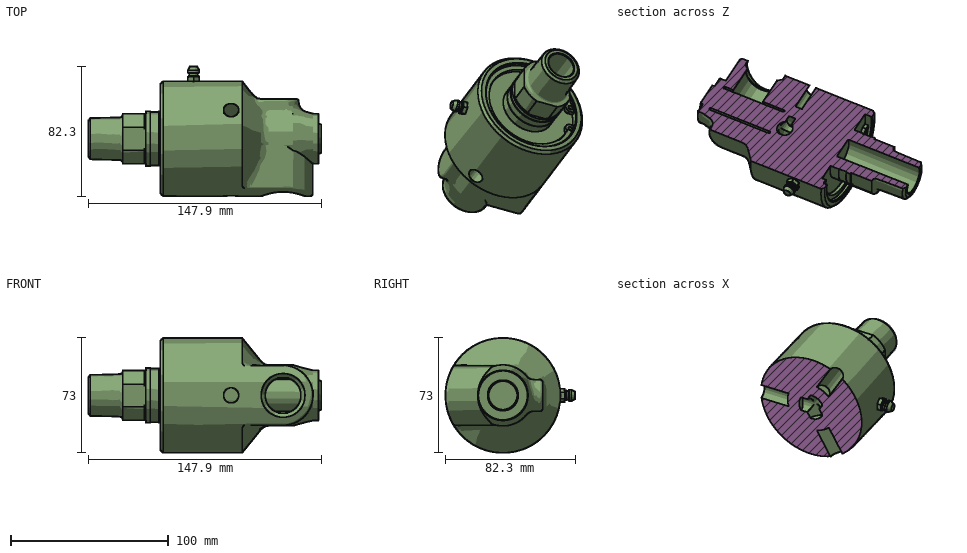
import cadquery as cq
import math

TOTAL_LENGTH = 147.9

NOSE_END_R = 22.6 / 2
NOSE_FRONT_R = 26.3 / 2
NOSE_REAR_R = 27.2 / 2
NOSE_CHAMFER = 1.5
NOSE_LENGTH = 20.1
NECK_FLARE = 1.8
COLLAR_R = 34.9 / 2
COLLAR_START = NOSE_LENGTH + NECK_FLARE
SQUARE_WIDTH = 31.8
GROOVE_R = 34.2 / 2
GROOVE_START = 35.6
GROOVE_END = 36.5
STEP_START = 39.5
STEP_END = 44.8
SLEEVE_R = 34.6 / 2
ROD_R = 20.4 / 2
SHAFT_BORE_D = 17.5
BORE_CHAMFER = 0.5

DRUM_R = 73.0 / 2
DRUM_START = 45.7
DRUM_END = 97.6
DRUM_CHAMFER = 1.8
CONE_END = 111.5
NECK_R = 38.7 / 2
NECK_END = 129.9
TAIL_R = 32.0 / 2
TAIL_START = 142.7
TAIL_END = 146.3
TAIL_CHAMFER = 0.5
PLUG_BASE_R = 19.5 / 2
PLUG_END_R = 18.0 / 2

RECESS_R = 62.5 / 2
RECESS_DEPTH = 5.0
RECESS_CHAMFER = 0.6
RING_INNER_R = 28.2
RING_THICKNESS = 2.5
RING_GAP = 10.4
EAR_R = 3.3
EAR_HOLE_D = 2.8
EAR_HOLE_RADIAL = 28.4

PORT_X = 123.6
PAD_R = 19.0
BOSS_R = 10.0
BOSS_HEIGHT = 25.3
BLOCK_ROOT = 7.4
PAD_TRIM = 1.5
RIM_FILLET = 1.9
BLEND_R = 6.0

MARGIN = 0.1

PORT_MOUTH_D = 27.8
PORT_MOUTH_DEPTH = 4.5
PORT_CHAMFER = 0.7
PORT_THREAD_D = 26.3
PORT_INNER_D = 22.6
PORT_TAPER_DEPTH = 1.8
CHAMBER_D = 22.6
CHAMBER_END = 140.5

DRAIN_X = 90.7
DRAIN_D = 9.6
DRAIN_COUNT = 3

NIPPLE_X = 66.9
NIPPLE_TOP = 45.8
NIPPLE_HEX_CORNERS = 8.6
NIPPLE_HEX_TOP = 39.2
NIPPLE_ROOT_DEPTH = 1.5
NIPPLE_SHOULDER_TOP = 40.1
NIPPLE_NECK_TOP = 41.4
NIPPLE_HEAD_BOTTOM = 42.0
NIPPLE_HEAD_TOP = 43.3
NIPPLE_SHOULDER_R = 6.4 / 2
NIPPLE_NECK_R = 5.6 / 2
NIPPLE_HEAD_R = 7.4 / 2
NIPPLE_TIP_R = 4.7 / 2


def x_cylinder(diameter, start, end):
    """Cylinder on the main axis between two X positions."""
    return cq.Workplane("YZ", origin=(start, 0, 0)).circle(diameter / 2).extrude(end - start)


def make_shaft():
    flare_mid = NECK_FLARE * math.sqrt(0.5)
    shaft = (
        cq.Workplane("XY")
        .moveTo(0, 0)
        .lineTo(0, NOSE_END_R)
        .lineTo(NOSE_CHAMFER, NOSE_FRONT_R)
        .lineTo(NOSE_LENGTH, NOSE_REAR_R)
        .threePointArc(
            (NOSE_LENGTH + flare_mid, NOSE_REAR_R + NECK_FLARE - flare_mid),
            (COLLAR_START, NOSE_REAR_R + NECK_FLARE),
        )
        .lineTo(COLLAR_START, COLLAR_R)
        .lineTo(GROOVE_START, COLLAR_R)
        .lineTo(GROOVE_START, GROOVE_R)
        .lineTo(GROOVE_END, GROOVE_R)
        .lineTo(GROOVE_END, COLLAR_R)
        .lineTo(STEP_START, COLLAR_R)
        .lineTo(STEP_START, GROOVE_R)
        .lineTo(STEP_END, GROOVE_R)
        .lineTo(STEP_END, SLEEVE_R)
        .lineTo(DRUM_END, SLEEVE_R)
        .lineTo(DRUM_END, ROD_R)
        .lineTo(CHAMBER_END, ROD_R)
        .lineTo(CHAMBER_END, 0)
        .close()
        .revolve(360, (0, 0, 0), (1, 0, 0))
    )
    flats = (
        cq.Workplane("YZ", origin=(COLLAR_START, 0, 0))
        .rect(2 * SQUARE_WIDTH, 2 * SQUARE_WIDTH)
        .rect(SQUARE_WIDTH, SQUARE_WIDTH)
        .extrude(GROOVE_END - COLLAR_START)
    )
    bore = x_cylinder(SHAFT_BORE_D, 0, DRUM_END)
    shaft = shaft.cut(flats).cut(bore)
    return shaft.faces("<X").edges(cq.selectors.RadiusNthSelector(0)).chamfer(BORE_CHAMFER)


def make_block(radius, depth, side):
    """Round-ended block on the port axis; side is -1 towards -Y and 1 towards +Y."""
    start = DRUM_END - BLOCK_ROOT
    return (
        cq.Workplane("XZ")
        .moveTo(start, -radius)
        .lineTo(PORT_X, -radius)
        .threePointArc((PORT_X + radius, 0), (PORT_X, radius))
        .lineTo(start, radius)
        .close()
        .extrude(-side * depth)
    )


def make_housing():
    core = (
        cq.Workplane("XY")
        .moveTo(DRUM_START, 0)
        .lineTo(DRUM_START, DRUM_R - DRUM_CHAMFER)
        .lineTo(DRUM_START + DRUM_CHAMFER, DRUM_R)
        .lineTo(DRUM_END, DRUM_R)
        .lineTo(CONE_END, NECK_R)
        .lineTo(NECK_END, NECK_R)
        .lineTo(TAIL_START, TAIL_R)
        .lineTo(TAIL_END - TAIL_CHAMFER, TAIL_R)
        .lineTo(TAIL_END, TAIL_R - TAIL_CHAMFER)
        .lineTo(TAIL_END, 0)
        .close()
        .revolve(360, (0, 0, 0), (1, 0, 0))
    )
    pad = make_block(PAD_R, DRUM_R + PAD_TRIM, -1)
    pad = pad.intersect(x_cylinder(2 * DRUM_R, DRUM_START, TAIL_END))
    boss = make_block(BOSS_R, BOSS_HEIGHT, 1)
    return core.union(pad).union(boss)


def inside_box(low, high):
    """Selector for edges that lie wholly between two corner points."""
    return cq.selectors.BoxSelector(low, high, boundingbox=True)


def round_housing(housing):
    """Round the boss and pad rims, then blend the cone, boss and pad into one another."""
    boss_end = PORT_X + BOSS_R + MARGIN
    boss_side = BOSS_R + MARGIN
    boss_rim = inside_box(
        (DRUM_END, BOSS_HEIGHT - MARGIN, -boss_side),
        (boss_end, BOSS_HEIGHT + MARGIN, boss_side),
    )
    housing = housing.edges(boss_rim).edges("not %HYPERBOLA").fillet(RIM_FILLET)

    pad_edge_y = math.sqrt(DRUM_R**2 - PAD_R**2)
    pad_side = PAD_R + MARGIN
    pad_rim = inside_box(
        (DRUM_END - MARGIN, -DRUM_R - MARGIN, -pad_side),
        (PORT_X + PAD_R + MARGIN, MARGIN - pad_edge_y, pad_side),
    )
    housing = housing.edges(pad_rim).fillet(RIM_FILLET)

    cone_end = inside_box(
        (CONE_END - MARGIN, -DRUM_R, -DRUM_R),
        (CONE_END + MARGIN, DRUM_R, DRUM_R),
    )
    boss_foot_y = math.sqrt(NECK_R**2 - BOSS_R**2)
    boss_foot = inside_box(
        (CONE_END - MARGIN, boss_foot_y - MARGIN, -boss_side),
        (boss_end, NECK_R, boss_side),
    )
    blend_edges = housing.edges("%HYPERBOLA")
    blend_edges = blend_edges.add(housing.edges(cone_end)).add(housing.edges(boss_foot))
    return blend_edges.fillet(BLEND_R)


def make_plug():
    base = cq.Workplane("YZ", origin=(TAIL_END, 0, 0)).circle(PLUG_BASE_R)
    return base.workplane(offset=TOTAL_LENGTH - TAIL_END).circle(PLUG_END_R).loft()


def make_recess():
    """Round recess in the drum face, with a chamfered mouth."""
    recess = x_cylinder(2 * RECESS_R, DRUM_START, DRUM_START + RECESS_DEPTH)
    mouth = (
        cq.Workplane("YZ", origin=(DRUM_START, 0, 0))
        .circle(RECESS_R + RECESS_CHAMFER)
        .workplane(offset=RECESS_CHAMFER)
        .circle(RECESS_R)
        .loft()
    )
    return recess.union(mouth)


def make_retaining_ring():
    """Open ring on the recess floor, with an eyed ear at each end."""
    start = DRUM_START + RECESS_DEPTH - RING_THICKNESS
    end = DRUM_START + RECESS_DEPTH
    seat = cq.Workplane("YZ", origin=(start, 0, 0))
    ring = seat.circle(RECESS_R).circle(RING_INNER_R).extrude(RING_THICKNESS)
    ring = ring.cut(seat.center(-RECESS_R, 0).rect(RECESS_R, RING_GAP).extrude(RING_THICKNESS))
    eye_z = RING_GAP / 2 + EAR_R
    eyes = [(-EAR_HOLE_RADIAL, -eye_z), (-EAR_HOLE_RADIAL, eye_z)]
    ears = seat.pushPoints(eyes).circle(EAR_R).extrude(RING_THICKNESS)
    ears = ears.intersect(x_cylinder(2 * RECESS_R, start, end))
    eye_holes = seat.pushPoints(eyes).circle(EAR_HOLE_D / 2).extrude(RING_THICKNESS)
    return ring.union(ears).cut(eye_holes)


def make_port():
    """Side port from the pad face into the chamber: chamfered mouth, then a taper."""
    mouth_y = -DRUM_R
    taper_start = mouth_y + PORT_MOUTH_DEPTH
    taper_end = taper_start + PORT_TAPER_DEPTH
    return (
        cq.Workplane("XY")
        .moveTo(PORT_X, mouth_y)
        .lineTo(PORT_X + PORT_MOUTH_D / 2, mouth_y)
        .lineTo(PORT_X + PORT_MOUTH_D / 2, taper_start - PORT_CHAMFER)
        .lineTo(PORT_X + PORT_THREAD_D / 2, taper_start)
        .lineTo(PORT_X + PORT_INNER_D / 2, taper_end)
        .lineTo(PORT_X + PORT_INNER_D / 2, 0)
        .lineTo(PORT_X, 0)
        .close()
        .revolve(360, (PORT_X, 0, 0), (PORT_X, 1, 0))
    )


def make_drain_holes():
    """Radial holes down to the shaft, evenly spaced around the drum from the -Y side."""
    hole = cq.Workplane("XZ", origin=(DRAIN_X, 0, 0)).circle(DRAIN_D / 2).extrude(DRUM_R)
    holes = cq.Workplane("XY")
    for i in range(DRAIN_COUNT):
        holes = holes.add(hole.rotate((0, 0, 0), (1, 0, 0), i * 360 / DRAIN_COUNT))
    return holes.combine()


def make_nipple():
    root = DRUM_R - NIPPLE_ROOT_DEPTH
    hexagon = (
        cq.Workplane("XZ", origin=(NIPPLE_X, root, 0))
        .transformed(rotate=(0, 0, 90))
        .polygon(6, NIPPLE_HEX_CORNERS)
        .extrude(root - NIPPLE_HEX_TOP)
    )
    head = (
        cq.Workplane("XY")
        .moveTo(NIPPLE_X, root)
        .lineTo(NIPPLE_X + NIPPLE_SHOULDER_R, root)
        .lineTo(NIPPLE_X + NIPPLE_SHOULDER_R, NIPPLE_SHOULDER_TOP)
        .lineTo(NIPPLE_X + NIPPLE_NECK_R, NIPPLE_SHOULDER_TOP)
        .lineTo(NIPPLE_X + NIPPLE_NECK_R, NIPPLE_NECK_TOP)
        .lineTo(NIPPLE_X + NIPPLE_HEAD_R, NIPPLE_HEAD_BOTTOM)
        .lineTo(NIPPLE_X + NIPPLE_HEAD_R, NIPPLE_HEAD_TOP)
        .lineTo(NIPPLE_X + NIPPLE_TIP_R, NIPPLE_TOP)
        .lineTo(NIPPLE_X, NIPPLE_TOP)
        .close()
        .revolve(360, (NIPPLE_X, 0, 0), (NIPPLE_X, 1, 0))
    )
    return hexagon.union(head)


body = round_housing(make_housing())
chamber = x_cylinder(CHAMBER_D, DRUM_END, CHAMBER_END)
for cavity in (make_recess(), make_drain_holes(), make_port(), chamber):
    body = body.cut(cavity)
for insert in (make_retaining_ring(), make_shaft(), make_plug(), make_nipple()):
    body = body.union(insert)
result = body